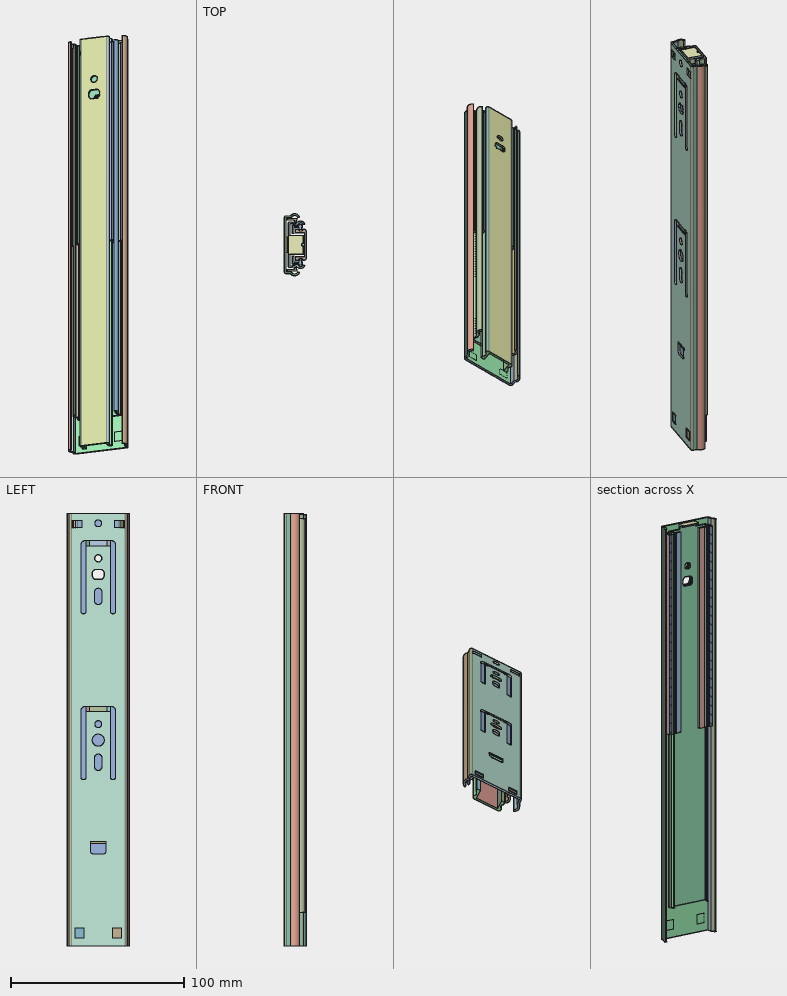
import cadquery as cq
import math

SHEET = 1.12
BEND = 1.2

GROOVE_HALF_WIDTH = 1.5
GROOVE_DEPTH = 1.0

OUTER_LENGTH = 250.0
OUTER_HALF_WIDTH = 16.8
OUTER_HALF_SPAN = 18.0
OUTER_DEPTH = 9.0
OUTER_RACE_RADIUS = 3.0
OUTER_LIP_ANGLE = 18

MIDDLE_BACK = 2.2
MIDDLE_FRONT = 12.0
MIDDLE_BOTTOM = 19.5
MIDDLE_TOP = 247.0
MIDDLE_HALF_WIDTH = 13.2
MIDDLE_HALF_SPAN = 13.8
MIDDLE_RACE_RADIUS = 2.5
MIDDLE_LIP_ANGLE = 15
TAB_HALF_WIDTH = 5.5
TAB_FRONT = 11.0
TAB_TOP = 250.0
TAB_NOTCH_RADIUS = 1.0

INNER_BACK = 6.5
INNER_FRONT = 12.8
INNER_TOP = 249.2
INNER_HALF_WIDTH = 9.0
DIMPLE_RADIUS = 0.8
DIMPLE_TIP = 10.2
DIMPLE_Z = 248.0

CAGE_BOTTOM = 125.0
CAGE_TOP = 246.2
CAGE_THICKNESS = 1.0
OUTER_CAGE_X = (1.8, 7.5)
OUTER_CAGE_Y = 14.2
OUTER_PAD_X = (5.8, 7.0)
OUTER_PAD_FOOT_Y = 13.0
INNER_CAGE_X = (4.5, 10.5)
INNER_CAGE_Y = 10.0
CAGE_LEG_X = (4.5, 5.8)
CAGE_LEG_FOOT_Y = 6.5
INNER_PAD_X = (8.5, 10.2)
INNER_PAD_Y = (8.8, 11.8)

TONGUE_TOPS = (234.2, 138.5)
TONGUE_HALF_WIDTH = 7.0
TONGUE_SLOT_WIDTH = 3.0
TONGUE_SLOT_LENGTH = 42.2
TONGUE_TOP_CORNER = 2.5
TONGUE_FOOT_CORNER = 1.2
TONGUE_RECESS_DEPTH = 0.8
TONGUE_RECESS_HALF_WIDTH = 5.0
PILOT_DROP = 10.2
PILOT_RADIUS = 2.0
SCREW_DROP = 19.5
SCREW_WIDTH = 6.8
SCREW_HEIGHT = 5.5
SCREW_RADIUS = 3.5
SLOT_DROP = 32.2
SLOT_LENGTH = 9.5
SLOT_WIDTH = 4.2

END_HOLE_Z = 244.2
END_HOLE_RADIUS = 2.0
END_WINDOW_Y = (9.5, 15.0)
END_WINDOW_Z = (241.8, 245.8)
LATCH_HALF_WIDTH = 4.5
LATCH_Z = (53.2, 59.2)
LATCH_CORNER = 1.8
LATCH_TAB_HEIGHT = 1.2
LATCH_TAB_X = (0.5, 2.0)
FOOT_POCKET_Y = (8.2, 13.5)
FOOT_POCKET_Z = (4.8, 10.5)
FOOT_POCKET_DEPTH = 0.5


def box(xs, ys, zs):
    """Box between pairs of X, Y and Z limits."""
    size = [high - low for low, high in (xs, ys, zs)]
    return cq.Workplane("XY").box(*size, centered=False).translate((xs[0], ys[0], zs[0]))


def both_sides(half):
    """Join a half rail to its mirror image about Y = 0."""
    return half.union(half.mirror("XZ")).clean()


def cut_both_sides(body, tool):
    """Cut a tool and its mirror image about Y = 0."""
    return body.cut(tool).cut(tool.mirror("XZ"))


def polar(centre, radius, angle):
    """Point on a circle, the angle measured from +X in degrees."""
    turn = math.radians(angle)
    return (centre[0] + radius * math.cos(turn), centre[1] + radius * math.sin(turn))


def left_of(centre, radius, y):
    """X where a circle crosses the line at height y, on the -X side of its centre."""
    return centre[0] - math.sqrt(radius**2 - (y - centre[1]) ** 2)


def web_plane(x):
    """Sketch plane at X = x whose local axes are Y and Z."""
    return cq.Workplane("YZ", origin=(x, 0, 0))


def drill(radius, z, depth):
    """Round pin along X on the centre line, used as a hole."""
    return web_plane(0).center(0, z).circle(radius).extrude(depth)


def slot_hole(z):
    """Upright slot on the centre line of the outer web."""
    return web_plane(0).center(0, z).slot2D(SLOT_LENGTH, SLOT_WIDTH, 90).extrude(SHEET)


def screw_slot(top, depth):
    """Rounded-end screw opening, wide along Y."""
    profile = web_plane(0).center(0, top - SCREW_DROP).rect(SCREW_WIDTH, SCREW_HEIGHT)
    round_ends = drill(SCREW_RADIUS, top - SCREW_DROP, depth)
    return profile.extrude(depth).intersect(round_ends)


def outer_section():
    centre = (OUTER_DEPTH - OUTER_RACE_RADIUS, OUTER_HALF_SPAN - OUTER_RACE_RADIUS)
    groove_radius = OUTER_RACE_RADIUS - SHEET
    wall_inside = OUTER_HALF_WIDTH - SHEET
    race_crest = polar(centre, OUTER_RACE_RADIUS, 90)
    race_end = polar(centre, OUTER_RACE_RADIUS, OUTER_LIP_ANGLE)
    race_start = left_of(centre, OUTER_RACE_RADIUS, OUTER_HALF_WIDTH)
    groove_start = left_of(centre, groove_radius, wall_inside)
    half = (
        cq.Workplane("XY")
        .moveTo(0, 0)
        .lineTo(0, OUTER_HALF_WIDTH - BEND)
        .radiusArc((BEND, OUTER_HALF_WIDTH), BEND)
        .lineTo(race_start, OUTER_HALF_WIDTH)
        .threePointArc(race_crest, race_end)
        .lineTo(*polar(centre, groove_radius, OUTER_LIP_ANGLE))
        .threePointArc(polar(centre, groove_radius, 90), (groove_start, wall_inside))
        .lineTo(SHEET, wall_inside)
        .lineTo(SHEET, 0)
        .close()
        .extrude(OUTER_LENGTH)
    )
    return both_sides(half)


def tongue_slots(top):
    """Pair of upright slots, one along each side of a spring tongue."""
    outside = TONGUE_HALF_WIDTH + TONGUE_SLOT_WIDTH
    span = (top - TONGUE_SLOT_LENGTH, top)
    slot = box((0, SHEET), (TONGUE_HALF_WIDTH, outside), span)
    slot = slot.edges("|X and >Y and >Z").fillet(TONGUE_TOP_CORNER)
    slot = slot.edges("|X and <Z").fillet(TONGUE_FOOT_CORNER)
    return slot.union(slot.mirror("XZ"))


def tongue_recess(top):
    """Shallow groove with sloping ends across the top of a spring tongue."""
    return (
        cq.Workplane("XY", origin=(0, 0, top - TONGUE_SLOT_WIDTH))
        .moveTo(0, -TONGUE_HALF_WIDTH)
        .lineTo(TONGUE_RECESS_DEPTH, -TONGUE_RECESS_HALF_WIDTH)
        .lineTo(TONGUE_RECESS_DEPTH, TONGUE_RECESS_HALF_WIDTH)
        .lineTo(0, TONGUE_HALF_WIDTH)
        .close()
        .extrude(TONGUE_SLOT_WIDTH)
    )


def make_outer_rail():
    rail = outer_section()
    for top in TONGUE_TOPS:
        rail = rail.cut(tongue_slots(top))
        rail = rail.cut(tongue_recess(top))
        rail = rail.cut(drill(PILOT_RADIUS, top - PILOT_DROP, SHEET))
        rail = rail.cut(slot_hole(top - SLOT_DROP))
    upper, lower = TONGUE_TOPS
    rail = rail.cut(screw_slot(upper, SHEET))
    rail = rail.cut(drill(SCREW_RADIUS, lower - SCREW_DROP, SHEET))
    rail = rail.cut(drill(END_HOLE_RADIUS, END_HOLE_Z, SHEET))
    rail = cut_both_sides(rail, box((0, SHEET), END_WINDOW_Y, END_WINDOW_Z))
    rail = cut_both_sides(rail, box((0, FOOT_POCKET_DEPTH), FOOT_POCKET_Y, FOOT_POCKET_Z))
    return add_latch(rail)


def add_latch(rail):
    """Window with a small tab bent inward from its upper edge."""
    across = (-LATCH_HALF_WIDTH, LATCH_HALF_WIDTH)
    tab_z = (LATCH_Z[1], LATCH_Z[1] + LATCH_TAB_HEIGHT)
    window = box((0, SHEET), across, (LATCH_Z[0], tab_z[1]))
    window = window.edges("|X and <Z").fillet(LATCH_CORNER)
    return rail.cut(window).union(box(LATCH_TAB_X, across, tab_z))


def middle_section():
    centre = (MIDDLE_FRONT - MIDDLE_RACE_RADIUS, MIDDLE_HALF_SPAN - MIDDLE_RACE_RADIUS)
    groove_radius = MIDDLE_RACE_RADIUS - SHEET
    race_crest = polar(centre, MIDDLE_RACE_RADIUS, 90)
    race_end = polar(centre, MIDDLE_RACE_RADIUS, MIDDLE_LIP_ANGLE)
    race_start = left_of(centre, MIDDLE_RACE_RADIUS, MIDDLE_HALF_WIDTH)
    web_inside = MIDDLE_BACK + SHEET
    wall_inside = MIDDLE_HALF_WIDTH - SHEET
    ball_x = OUTER_DEPTH - OUTER_RACE_RADIUS
    dip = MIDDLE_HALF_WIDTH - GROOVE_DEPTH
    half = (
        cq.Workplane("XY")
        .moveTo(MIDDLE_BACK, 0)
        .lineTo(MIDDLE_BACK, MIDDLE_HALF_WIDTH - BEND)
        .radiusArc((MIDDLE_BACK + BEND, MIDDLE_HALF_WIDTH), BEND)
        .lineTo(ball_x - GROOVE_HALF_WIDTH, MIDDLE_HALF_WIDTH)
        .threePointArc((ball_x, dip), (ball_x + GROOVE_HALF_WIDTH, MIDDLE_HALF_WIDTH))
        .lineTo(race_start, MIDDLE_HALF_WIDTH)
        .threePointArc(race_crest, race_end)
        .lineTo(*polar(centre, groove_radius, MIDDLE_LIP_ANGLE))
        .threePointArc(polar(centre, groove_radius, 90), polar(centre, groove_radius, 180))
        .lineTo(ball_x, centre[1])
        .lineTo(ball_x - GROOVE_HALF_WIDTH, wall_inside)
        .lineTo(web_inside, wall_inside)
        .lineTo(web_inside, 0)
        .close()
        .extrude(MIDDLE_TOP - MIDDLE_BOTTOM)
        .translate((0, 0, MIDDLE_BOTTOM))
    )
    return both_sides(half)


def add_stop_tab(rail):
    """Extend the web above the flanges and bend it over toward +X, with a notch in its end."""
    across = (-TAB_HALF_WIDTH, TAB_HALF_WIDTH)
    riser = box((MIDDLE_BACK, MIDDLE_BACK + SHEET), across, (MIDDLE_TOP, TAB_TOP))
    tab = box((MIDDLE_BACK, TAB_FRONT), across, (TAB_TOP - SHEET, TAB_TOP))
    notch = cq.Workplane("XY").center(TAB_FRONT, 0).circle(TAB_NOTCH_RADIUS).extrude(TAB_TOP)
    return rail.union(riser).union(tab.cut(notch))


def make_middle_rail():
    return cut_through_holes(add_stop_tab(middle_section()))


def inner_section():
    web_inside = INNER_FRONT - SHEET
    wall_inside = INNER_HALF_WIDTH - GROOVE_DEPTH - SHEET
    ball_x = MIDDLE_FRONT - MIDDLE_RACE_RADIUS
    half = (
        cq.Workplane("XY")
        .moveTo(INNER_FRONT, 0)
        .lineTo(INNER_FRONT, INNER_HALF_WIDTH - BEND)
        .radiusArc((INNER_FRONT - BEND, INNER_HALF_WIDTH), -BEND)
        .lineTo(ball_x + GROOVE_HALF_WIDTH, INNER_HALF_WIDTH)
        .threePointArc(
            (ball_x, INNER_HALF_WIDTH - GROOVE_DEPTH), (ball_x - GROOVE_HALF_WIDTH, INNER_HALF_WIDTH)
        )
        .lineTo(INNER_BACK, INNER_HALF_WIDTH)
        .lineTo(INNER_BACK, wall_inside)
        .lineTo(web_inside, wall_inside)
        .lineTo(web_inside, 0)
        .close()
        .extrude(INNER_TOP)
    )
    return both_sides(half)


def make_inner_rail():
    dimple = web_plane(DIMPLE_TIP).center(0, DIMPLE_Z).circle(DIMPLE_RADIUS)
    dimple = dimple.extrude(INNER_FRONT - SHEET - DIMPLE_TIP)
    return cut_through_holes(inner_section().union(dimple))


def cut_through_holes(rail):
    """Pilot and screw holes in line with the upper ones of the outer rail."""
    top = TONGUE_TOPS[0]
    rail = rail.cut(drill(PILOT_RADIUS, top - PILOT_DROP, INNER_FRONT))
    return rail.cut(screw_slot(top, INNER_FRONT))


def make_outer_cage():
    span = (CAGE_BOTTOM, CAGE_TOP)
    strip_top = OUTER_CAGE_Y + CAGE_THICKNESS
    strip = box(OUTER_CAGE_X, (OUTER_CAGE_Y, strip_top), span)
    pad = box(OUTER_PAD_X, (OUTER_PAD_FOOT_Y, strip_top), span)
    return strip.union(pad)


def make_inner_cage():
    span = (CAGE_BOTTOM, CAGE_TOP)
    strip_top = INNER_CAGE_Y + CAGE_THICKNESS
    strip = box(INNER_CAGE_X, (INNER_CAGE_Y, strip_top), span)
    leg = box(CAGE_LEG_X, (CAGE_LEG_FOOT_Y, strip_top), span)
    pad = box(INNER_PAD_X, INNER_PAD_Y, span)
    return strip.union(leg).union(pad)


outer_rail = make_outer_rail()
middle_rail = make_middle_rail()
inner_rail = make_inner_rail()

cages = []
for make_cage in (make_outer_cage, make_inner_cage):
    cage = make_cage()
    cages.append(cage.val())
    cages.append(cage.mirror("XZ").val())

result = cq.Compound.makeCompound(
    [outer_rail.val(), middle_rail.val(), inner_rail.val(), *cages]
)